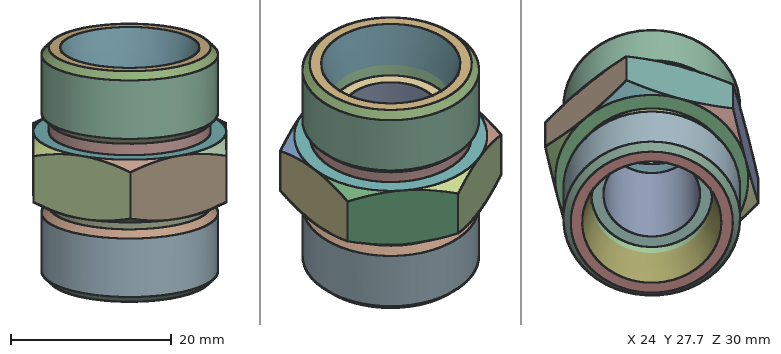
import cadquery as cq
import math

length = 30.0
end_diameter = 22.0
neck_diameter = 20.15
end_chamfer = (end_diameter - neck_diameter) / 2
collar_length = 8.52

across_flats = 24.0
across_corners = across_flats / math.cos(math.radians(30))
hex_height = 8.15
hex_chamfer_angle = 30.0

bore_diameter = 12.0
socket_diameter = 15.0
mouth_diameter = 17.3
cone_half_angle = 12.0
socket_depth = 7.0

half_length = length / 2


def make_body():
    """Revolved outside: a grooved neck with a chamfered collar at each end."""
    neck_radius = neck_diameter / 2
    end_radius = end_diameter / 2
    inner_chamfer_z = half_length - collar_length
    upper_profile = [
        (neck_radius, inner_chamfer_z - end_chamfer),
        (end_radius, inner_chamfer_z),
        (end_radius, half_length - end_chamfer),
        (neck_radius, half_length),
    ]
    lower_profile = [(radius, -z) for radius, z in reversed(upper_profile)]
    profile = [(0, -half_length)] + lower_profile + upper_profile + [(0, half_length)]
    return cq.Workplane("XZ").polyline(profile).close().revolve(360, (0, 0), (0, 1))


def make_hexagon():
    """Hexagon with flats facing X, its corners trimmed by a cone on both faces."""
    prism = (
        cq.Workplane("XY")
        .polygon(6, across_corners)
        .extrude(hex_height / 2, both=True)
        .rotate((0, 0, 0), (0, 0, 1), 30)
    )
    flat_radius = across_flats / 2
    corner_radius = across_corners / 2
    half_height = hex_height / 2
    corner_drop = (corner_radius - flat_radius) * math.tan(math.radians(hex_chamfer_angle))
    envelope_profile = [
        (0, -half_height),
        (flat_radius, -half_height),
        (corner_radius, corner_drop - half_height),
        (corner_radius, half_height - corner_drop),
        (flat_radius, half_height),
        (0, half_height),
    ]
    envelope = cq.Workplane("XZ").polyline(envelope_profile).close().revolve(360, (0, 0), (0, 1))
    return prism.intersect(envelope)


def make_passage():
    """Through bore with a cone and a straight socket at each end."""
    bore_radius = bore_diameter / 2
    socket_radius = socket_diameter / 2
    mouth_radius = mouth_diameter / 2
    cone_depth = (mouth_radius - socket_radius) / math.tan(math.radians(cone_half_angle))
    upper_profile = [
        (bore_radius, half_length - socket_depth),
        (socket_radius, half_length - socket_depth),
        (socket_radius, half_length - cone_depth),
        (mouth_radius, half_length),
    ]
    lower_profile = [(radius, -z) for radius, z in reversed(upper_profile)]
    profile = [(0, -half_length)] + lower_profile + upper_profile + [(0, half_length)]
    return cq.Workplane("XZ").polyline(profile).close().revolve(360, (0, 0), (0, 1))


result = make_body().union(make_hexagon()).cut(make_passage())